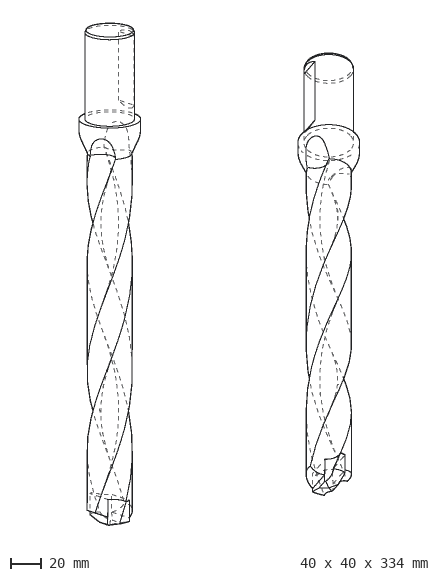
import cadquery as cq
import math

total_length = 334.0

shank_diameter = 32.0
shank_chamfer_height = 1.7
shank_chamfer_width = 0.7
flat_offset = 14.0
flat_bottom_z = 278.2
flat_top_z = 330.5
flat_ramp_height = 2.0

collar_diameter = 40.0
collar_top_z = 274.0
collar_curve_z = 267.2
collar_cone_angle = 24.0
neck_radius = 14.5
neck_top_z = 251.0
neck_bottom_z = 247.8

stem_radius = 14.7
stem_ridge_z = 4.7
stem_end_slope = 0.45

flute_count = 2
flute_pitch = 254.0
flute_radius = 9.7
flute_center_radius = 15.5
flute_start_z = -3.5
flute_end_z = 246.5
flute_across_y_z = 232.5
runout_straight_height = 5.0
runout_exit_height = 23.5
runout_exit_slope = 0.9

insert_radius = 15.0
insert_half_thickness = 4.7
insert_top_z = 18.7
insert_corner_z = 4.7
insert_end_slope = 0.3


def flute_angle(z):
    """Direction in degrees of the first flute at height z."""
    return 90 + (z - flute_across_y_z) * 360 / flute_pitch


def make_helical_flute():
    height = flute_end_z - flute_start_z
    return (
        cq.Workplane("XY")
        .moveTo(flute_center_radius, 0)
        .circle(flute_radius)
        .twistExtrude(height, height * 360 / flute_pitch)
        .rotate((0, 0, 0), (0, 0, 1), flute_angle(flute_start_z))
        .translate((0, 0, flute_start_z))
    )


def slanted_cylinder(base, slope_x, slope_y, height):
    """Cylinder with horizontal round ends, leaning by the given slopes."""
    circle = cq.Wire.makeCircle(flute_radius, base, cq.Vector(0, 0, 1))
    lean = cq.Vector(slope_x, slope_y, 1) * height
    return cq.Workplane(cq.Solid.extrudeLinear(circle, [], lean))


def make_runout():
    """Straight continuation of the flute that then leaves through the collar."""
    tangent_slope = 2 * math.pi * flute_center_radius / flute_pitch
    start = cq.Vector(flute_center_radius, 0, flute_end_z)
    bend = start + cq.Vector(0, tangent_slope, 1) * runout_straight_height
    straight = slanted_cylinder(start, 0, tangent_slope, runout_straight_height)
    leaving = slanted_cylinder(bend, runout_exit_slope, tangent_slope, runout_exit_height)
    return straight.union(leaving).rotate((0, 0, 0), (0, 0, 1), flute_angle(flute_end_z))


def cut_flutes(body, cutter):
    for index in range(flute_count):
        body = body.cut(cutter.rotate((0, 0, 0), (0, 0, 1), index * 360 / flute_count))
    return body


def make_turned_blank():
    shank_radius = shank_diameter / 2
    collar_radius = collar_diameter / 2

    angle = math.radians(collar_cone_angle)
    cone_spread = (collar_curve_z - neck_top_z) * math.tan(angle)
    arc_radius = (cone_spread - collar_radius + neck_radius) / (1 / math.cos(angle) - 1)

    def arc_point(angle_below_center):
        return (
            collar_radius - arc_radius * (1 - math.cos(angle_below_center)),
            collar_curve_z - arc_radius * math.sin(angle_below_center),
        )

    return (
        cq.Workplane("XZ")
        .moveTo(0, 0)
        .lineTo(stem_radius, 0)
        .lineTo(stem_radius, neck_bottom_z)
        .lineTo(neck_radius, neck_top_z)
        .lineTo(*arc_point(angle))
        .threePointArc(arc_point(angle / 2), (collar_radius, collar_curve_z))
        .lineTo(collar_radius, collar_top_z)
        .lineTo(shank_radius, collar_top_z)
        .lineTo(shank_radius, total_length - shank_chamfer_height)
        .lineTo(shank_radius - shank_chamfer_width, total_length)
        .lineTo(0, total_length)
        .close()
        .revolve(360, (0, 0, 0), (0, 1, 0))
    )


def make_shank_flat():
    ramp_end = flat_offset + flat_ramp_height
    return (
        cq.Workplane("YZ")
        .polyline([
            (ramp_end, flat_bottom_z),
            (flat_offset, flat_bottom_z + 2 * flat_ramp_height),
            (flat_offset, flat_top_z - flat_ramp_height),
            (ramp_end, flat_top_z),
        ])
        .close()
        .extrude(shank_diameter / 2, both=True)
    )


def make_end_cut(ridge_z, slope):
    """Removes everything below two end faces that slope up from a ridge along X toward +Y and -Y."""
    rise = slope * collar_diameter
    return (
        cq.Workplane("YZ")
        .polyline([
            (-collar_diameter, flute_start_z),
            (collar_diameter, flute_start_z),
            (collar_diameter, ridge_z + rise),
            (0, ridge_z),
            (-collar_diameter, ridge_z + rise),
        ])
        .close()
        .extrude(collar_diameter, both=True)
    )


def make_insert_blank():
    """Pointed plate across the drill axis with round outer edges."""
    plate = (
        cq.Workplane("XZ")
        .polyline([
            (0, 0),
            (insert_radius, insert_corner_z),
            (insert_radius, insert_top_z),
            (-insert_radius, insert_top_z),
            (-insert_radius, insert_corner_z),
        ])
        .close()
        .extrude(insert_half_thickness, both=True)
    )
    envelope = cq.Workplane("XY").circle(insert_radius).extrude(insert_top_z)
    return plate.intersect(envelope).cut(make_end_cut(0, insert_end_slope))


def make_drill_body(flute, insert_slot):
    body = make_turned_blank().cut(make_shank_flat())
    body = cut_flutes(body, flute)
    body = cut_flutes(body, make_runout())
    return body.cut(make_end_cut(stem_ridge_z, stem_end_slope)).cut(insert_slot)


helical_flute = make_helical_flute()
insert_slot = cq.Workplane("XY").box(
    collar_diameter, 2 * insert_half_thickness, insert_top_z, centered=(True, True, False)
)
drill_body = make_drill_body(helical_flute, insert_slot)
cutting_insert = cut_flutes(make_insert_blank(), helical_flute)

result = cq.Compound.makeCompound([drill_body.val(), cutting_insert.val()])